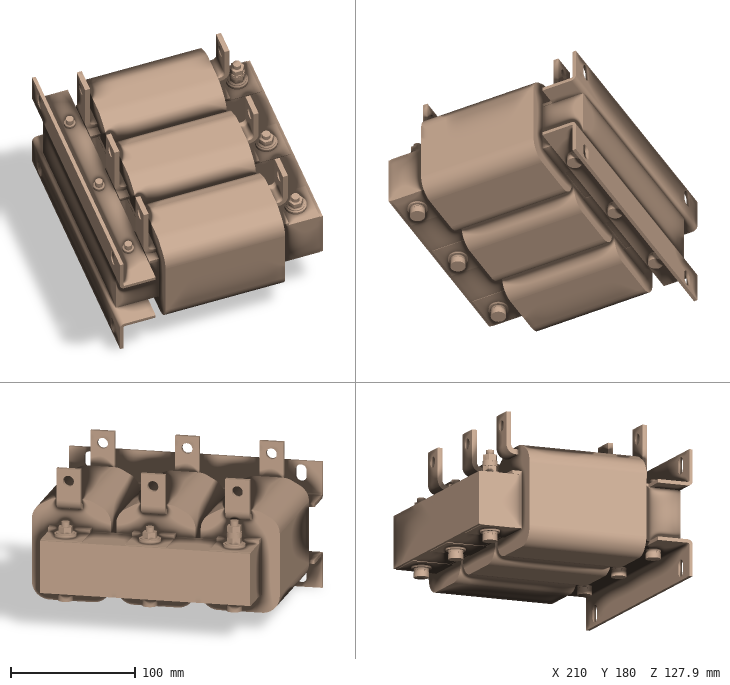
import cadquery as cq


phase_pitch = 70.0
leg_width = 35.0
core_back = 88.6
yoke_inner = 54.0
core_half_height = 21.8
liner_thickness = 0.5
core_width = 2 * phase_pitch + leg_width - 2 * liner_thickness
liner_half_height = core_half_height + liner_thickness
liner_end = 86.0
rail_depth = 1.5

winding_thickness = 14.7
coil_length = 102.5
coil_center_y = -0.5
coil_half_width = 18.0
coil_flat_half_width = 11.1
coil_lower_z = -22.7
coil_shoulder_z = 29.5
coil_upper_z = 33.2

spacer_thickness = 3.0
spacer_length = 119.7

terminal_width = 20.0
terminal_thickness = 4.2
terminal_bend_radius = 8.0
terminal_reach = 61.7
terminal_top = 75.4
terminal_hole_diameter = 9.0
terminal_hole_drop = 10.0
front_terminal_bottom = liner_half_height + spacer_thickness
back_terminal_bottom = 40.5

angle_length = 210.0
angle_front = -91.4
angle_back = -61.0
angle_thickness = 3.0
angle_bend_radius = 4.2
angle_tip = 52.5
slot_pitch = 174.7
slot_width = 9.0
slot_length = 14.3
slot_z = 42.5

back_bolt_y = 71.5
earth_bolt_x = -phase_pitch
front_bolt_y = -71.8
head_diameter = 12.4
spring_washer_diameter = 12.0
washer_height = 1.58
lug_gap = 2 * washer_height
split_width = 0.5
nut_across_corners = 12.2
nut_height = 4.8
stud_diameter = 6.7
stud_tip_height = 4.0
head_height = 4.2
insulator_diameter = 18.0
insulator_height = 2.5
collar_diameter = 15.1
collar_height = 0.8
lower_washer_diameter = 16.4
front_nut_diameter = 9.2
front_nut_height = 2.5
front_stud_diameter = 6.0
front_stud_height = 4.8

phase_positions = [-phase_pitch, 0, phase_pitch]


def box(width, y_start, y_end, z_start, z_end, x=0):
    """Block centred on x, spanning the given Y and Z ranges."""
    block = cq.Workplane("XY").box(width, y_end - y_start, z_end - z_start)
    return block.translate((x, (y_start + y_end) / 2, (z_start + z_end) / 2))


def disc(x, y, z, diameter, height):
    """Upright cylinder standing on z."""
    return cq.Workplane("XY", origin=(x, y, z)).circle(diameter / 2).extrude(height)


def hex_nut(x, y, z):
    """Hexagon nut with corners pointing along Y."""
    nut = cq.Workplane("XY").polygon(6, nut_across_corners).extrude(nut_height)
    return nut.rotate((0, 0, 0), (0, 0, 1), 90).translate((x, y, z))


def split_washer(x, y, z):
    """Spring washer with its split on the -X side."""
    radius = spring_washer_diameter / 2
    washer = disc(x, y, z, spring_washer_diameter, washer_height)
    half_split = split_width / 2
    split = box(radius, y - half_split, y + half_split, z, z + washer_height, x - radius)
    return washer.cut(split)


def stack(z, items):
    """Pile up (builder, height) items from z and return them as a list of solids."""
    solids = []
    for build, height in items:
        solids.append(build(z))
        z += height
    return solids


def yoke(side):
    """Yoke block and its inner rail; side is +1 for the back, -1 for the front."""
    inner, outer = sorted((side * yoke_inner, side * core_back))
    block = box(core_width, inner, outer, -core_half_height, core_half_height)
    rail_start, rail_end = sorted((side * yoke_inner, side * (yoke_inner - rail_depth)))
    rail = box(core_width, rail_start, rail_end, -liner_half_height, liner_half_height)
    return block.union(rail)


def leg(x):
    """Lined core leg, its thin tongues over both yokes and the spacer plate on top."""
    leg_end = yoke_inner - rail_depth
    lined = box(leg_width, -leg_end, leg_end, -liner_half_height, liner_half_height, x)
    tongue_width = leg_width - 2 * liner_thickness
    tongues = box(tongue_width, -liner_end, liner_end, -liner_half_height, liner_half_height, x)
    spacer = box(
        leg_width,
        coil_center_y - spacer_length / 2,
        coil_center_y + spacer_length / 2,
        liner_half_height,
        liner_half_height + spacer_thickness,
        x,
    )
    return lined.union(tongues).union(spacer)


def coil(x):
    former = [
        (-coil_half_width, coil_lower_z),
        (coil_half_width, coil_lower_z),
        (coil_half_width, coil_shoulder_z),
        (coil_flat_half_width, coil_upper_z),
        (-coil_flat_half_width, coil_upper_z),
        (-coil_half_width, coil_shoulder_z),
    ]
    winding = (
        cq.Workplane("XZ")
        .polyline(former)
        .close()
        .offset2D(winding_thickness, "arc")
        .extrude(coil_length / 2, both=True)
    )
    return winding.translate((x, coil_center_y, 0))


def terminal(x, side, bottom):
    """L-shaped bar leaving the coil end face and turning upwards."""
    start = coil_length / 2
    bend_start = terminal_reach - terminal_bend_radius
    bend_top = bottom + terminal_bend_radius
    inner_radius = terminal_bend_radius - terminal_thickness
    bar = (
        cq.Workplane("YZ")
        .moveTo(start, bottom)
        .lineTo(bend_start, bottom)
        .radiusArc((terminal_reach, bend_top), -terminal_bend_radius)
        .lineTo(terminal_reach, terminal_top)
        .lineTo(terminal_reach - terminal_thickness, terminal_top)
        .lineTo(terminal_reach - terminal_thickness, bend_top)
        .radiusArc((bend_start, bottom + terminal_thickness), inner_radius)
        .lineTo(start, bottom + terminal_thickness)
        .close()
        .extrude(terminal_width / 2, both=True)
    )
    hole = (
        cq.Workplane("XZ", origin=(0, 0, terminal_top - terminal_hole_drop))
        .circle(terminal_hole_diameter / 2)
        .extrude(-terminal_reach)
    )
    bar = bar.cut(hole)
    if side < 0:
        bar = bar.mirror("XZ")
    return bar.translate((x, coil_center_y, 0))


def upper_angle():
    """Mounting angle lying on the core with its upright pointing up."""
    flange_bottom = liner_half_height
    flange_top = flange_bottom + angle_thickness
    upright_back = angle_front + angle_thickness
    inner_radius = angle_bend_radius - angle_thickness
    bend_y = angle_front + angle_bend_radius
    bend_z = flange_bottom + angle_bend_radius
    angle = (
        cq.Workplane("YZ")
        .moveTo(angle_back, flange_bottom)
        .lineTo(bend_y, flange_bottom)
        .radiusArc((angle_front, bend_z), angle_bend_radius)
        .lineTo(angle_front, angle_tip)
        .lineTo(upright_back, angle_tip)
        .lineTo(upright_back, bend_z)
        .radiusArc((bend_y, flange_top), -inner_radius)
        .lineTo(angle_back, flange_top)
        .close()
        .extrude(angle_length / 2, both=True)
    )
    slots = (
        cq.Workplane("XZ", origin=(0, upright_back, slot_z))
        .rarray(slot_pitch, 2, 2, 1)
        .slot2D(slot_length, slot_width, 90)
        .extrude(angle_thickness)
    )
    return angle.cut(slots)


def bolt_head(x, y, z):
    """Plain washer, split washer and round head hanging below z."""
    bottom = z - 2 * washer_height - head_height
    return stack(bottom, [
        (lambda level: disc(x, y, level, head_diameter, head_height), head_height),
        (lambda level: split_washer(x, y, level), washer_height),
        (lambda level: disc(x, y, level, head_diameter, washer_height), washer_height),
    ])


def back_bolt(x):
    """Insulated bolt through the back yoke; the earth bolt carries a second nut."""
    y = back_bolt_y
    pieces = [
        (lambda z: disc(x, y, z, insulator_diameter, insulator_height), insulator_height),
        (lambda z: disc(x, y, z, collar_diameter, collar_height), collar_height),
        (lambda z: hex_nut(x, y, z), nut_height),
    ]
    if x == earth_bolt_x:
        pieces += [
            (lambda z: disc(x, y, z, head_diameter, lug_gap), lug_gap),
            (lambda z: split_washer(x, y, z), washer_height),
            (lambda z: hex_nut(x, y, z), nut_height),
        ]
    pieces.append((lambda z: disc(x, y, z, stud_diameter, stud_tip_height), stud_tip_height))
    washer_bottom = -liner_half_height - washer_height
    washer = disc(x, y, washer_bottom, lower_washer_diameter, washer_height)
    return stack(liner_half_height, pieces) + [washer] + bolt_head(x, y, washer_bottom)


def front_bolt(x):
    """Bolt clamping the two mounting angles to the front yoke."""
    y = front_bolt_y
    clamp = liner_half_height + angle_thickness
    upper = stack(clamp, [
        (lambda z: disc(x, y, z, front_nut_diameter, front_nut_height), front_nut_height),
        (lambda z: disc(x, y, z, front_stud_diameter, front_stud_height), front_stud_height),
    ])
    return upper + bolt_head(x, y, -clamp)


result = yoke(1).union(yoke(-1))
for phase_x in phase_positions:
    result = result.union(leg(phase_x))
    result = result.union(coil(phase_x))
    result = result.union(terminal(phase_x, 1, back_terminal_bottom))
    result = result.union(terminal(phase_x, -1, front_terminal_bottom))

result = result.union(upper_angle()).union(upper_angle().mirror("XY"))

for phase_x in phase_positions:
    for piece in back_bolt(phase_x) + front_bolt(phase_x):
        result = result.union(piece)